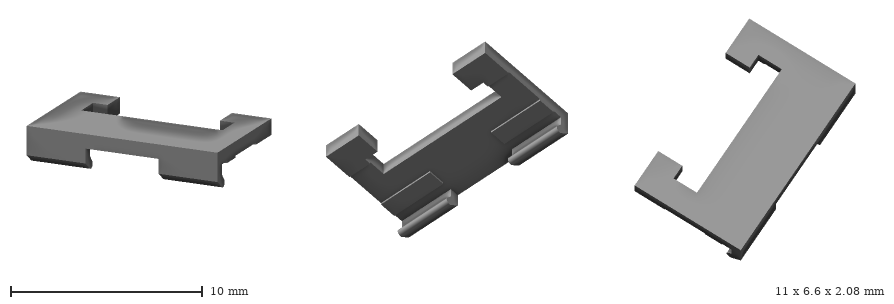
import cadquery as cq
import math

width = 11.0
depth = 6.6
height = 2.08
plate_thickness = 0.79

pad_bottom = 0.9
back_pad_length = 1.87
front_pad_start = 4.38
front_pad_end = 5.43

arm_width = 1.43
hook_width = 2.27
hook_length = 1.5
notch_depth = 2.95

leg_span = 3.39
leg_thickness = 0.56
leg_inner_depth = 1.36
leg_outer_depth = 1.61
tip_radius = 0.22
tip_center_y = 0.67

tip_center = (tip_center_y, tip_radius - height)
inner_corner = (leg_thickness, -leg_inner_depth)
outer_corner = (0, -leg_outer_depth)


def tip_point(angle):
    """Point on the rounded leg tip at an angle from +Y toward +Z."""
    return (
        tip_center[0] + tip_radius * math.cos(angle),
        tip_center[1] + tip_radius * math.sin(angle),
    )


def tangent_angle(corner, side):
    """Angle on the tip where a straight flank from corner touches it."""
    dy = corner[0] - tip_center[0]
    dz = corner[1] - tip_center[1]
    return math.atan2(dz, dy) + side * math.acos(tip_radius / math.hypot(dy, dz))


def make_plate():
    return cq.Workplane("XY").box(width, depth, plate_thickness, centered=False).translate(
        (0, 0, -plate_thickness)
    )


def make_pad(start_x, start, end):
    """Pad on one side, between two distances from the back edge."""
    return cq.Workplane("XY").box(leg_span, end - start, pad_bottom, centered=False).translate(
        (start_x, depth - end, -pad_bottom)
    )


def make_leg(start_x):
    """Snap leg with an inward-sloping, rounded tip."""
    inner_angle = tangent_angle(inner_corner, -1)
    outer_angle = tangent_angle(outer_corner, 1) - 2 * math.pi
    middle_angle = (inner_angle + outer_angle) / 2
    return (
        cq.Workplane("YZ", origin=(start_x, 0, 0))
        .moveTo(0, 0)
        .lineTo(leg_thickness, 0)
        .lineTo(*inner_corner)
        .lineTo(*tip_point(inner_angle))
        .threePointArc(tip_point(middle_angle), tip_point(outer_angle))
        .lineTo(*outer_corner)
        .close()
        .extrude(leg_span)
    )


def make_notch():
    """T-shaped cutter for the back opening."""
    slot_width = width - 2 * arm_width
    mouth_width = width - 2 * hook_width
    slot = cq.Workplane("XY").box(slot_width, notch_depth - hook_length, height, centered=False)
    slot = slot.translate((arm_width, depth - notch_depth, -height))
    mouth = cq.Workplane("XY").box(mouth_width, hook_length, height, centered=False)
    mouth = mouth.translate((hook_width, depth - hook_length, -height))
    return slot.union(mouth)


result = make_plate()
for side_start in (0, width - leg_span):
    result = result.union(make_leg(side_start))
    result = result.union(make_pad(side_start, 0, back_pad_length))
    result = result.union(make_pad(side_start, front_pad_start, front_pad_end))
result = result.cut(make_notch())